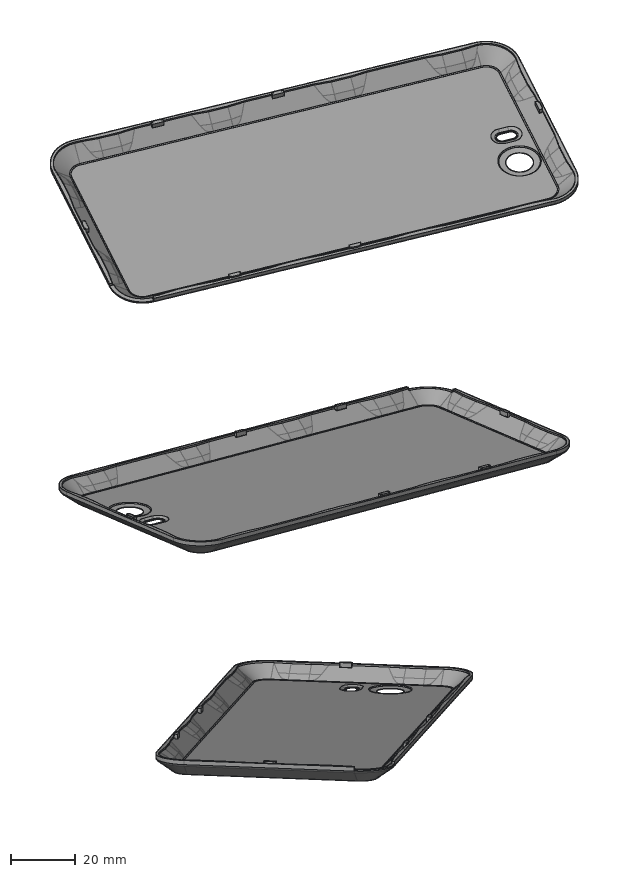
import cadquery as cq
WIDTH = 74.9
LENGTH = 152.8
HEIGHT = 6.1
RIM_Z = 5.58
CORNER_RADIUS = 10.7

BAND_BOTTOM_Z = 4.3
BEVEL_BOTTOM_Z = 3.7
BEVEL_INSET = 0.5
BASE_INSET = 5.5

RIM_WIDTH = 0.9
LIP_BOTTOM_Z = 5.0
WALL_FOOT_INSET = 6.0
FLOOR_INSET = 6.4
FLOOR_Z = 0.8
FLOOR_BEVEL_HEIGHT = 0.2
WALL_FOOT_Z = FLOOR_Z + FLOOR_BEVEL_HEIGHT

NOTCH_DEPTH = 0.9

OPENINGS_Y = 63.0
CAMERA_X = 12.2
CAMERA_RADIUS = 4.3
CAMERA_CONE_RADIUS = 6.4
CAMERA_BEVEL_RADIUS = 6.7
CAMERA_CONE_DEPTH = 0.6
CAMERA_BEVEL_DEPTH = 0.3
FLASH_STRAIGHT = 3.0
FLASH_RADIUS = 1.7
FLASH_STEP_RADIUS = 2.1
FLASH_CONE_RADIUS = 3.4
FLASH_CONE_DEPTH = 0.5

PAD_LENGTH = 6.4
PAD_RIM_FLARE = 6.3
PAD_FOOT_FLARE = 2.5
PAD_BULGE = 0.5
PAD_KNEE_INSET = 4.5
PAD_KNEE_Z = 2.6
PAD_EMBED = 0.5
PAD_FADE = 0.03
SIDE_PADS_Y = (57.8, 21.4, -18.8, -54.7)
END_PADS_X = (-18.0, 18.0)

CLIP_LENGTH = 3.8
CLIP_TAB_LENGTH = 2.8
CLIP_OUTER_INSET = 0.69
CLIP_INNER_INSET = 2.0
CLIP_BOTTOM_Z = 4.6
SIDE_CLIPS_Y = (0.8, -38.7)
TOP_CLIP_X = -4.0
BOTTOM_CLIP_X = 0.0


def stacked_layers(profile):
    """Solid through rounded rectangles given as (inset from the outline, Z)."""
    outlines = []
    for inset, z in profile:
        block = cq.Workplane("XY").box(WIDTH - 2 * inset, LENGTH - 2 * inset, 1.5, centered=(True, True, False))
        rounded = block.edges("|Z").fillet(CORNER_RADIUS - inset)
        outlines.append(rounded.faces("<Z").wires().val().translate(cq.Vector(0, 0, z)))
    return cq.Workplane(cq.Solid.makeLoft(outlines, True))


def tray():
    outside = stacked_layers(
        [
            (BASE_INSET, 0),
            (BEVEL_INSET, BEVEL_BOTTOM_Z),
            (0, BAND_BOTTOM_Z),
            (0, RIM_Z),
        ]
    )
    cavity = stacked_layers(
        [
            (FLOOR_INSET, FLOOR_Z),
            (WALL_FOOT_INSET, WALL_FOOT_Z),
            (RIM_WIDTH, LIP_BOTTOM_Z),
            (RIM_WIDTH, RIM_Z),
        ]
    )
    return outside.cut(cavity)


def place_on_wall(feature, side, along):
    """Move a feature built on a -X wall (edge at X = 0, Y = 0) to a wall."""
    turn, half_span = {
        "-X": (0, WIDTH / 2),
        "-Y": (90, LENGTH / 2),
        "+X": (180, WIDTH / 2),
        "+Y": (270, LENGTH / 2),
    }[side]
    centred = feature.translate((-half_span, 0, 0))
    turned = centred.rotate((0, 0, 0), (0, 0, 1), turn)
    shift = (0, along, 0) if side in ("-X", "+X") else (along, 0, 0)
    return turned.translate(shift)


def pad():
    """Flat-faced bulge whose ends fade into the sloped wall."""
    bulged_inset = RIM_WIDTH + PAD_BULGE
    wall_run = (WALL_FOOT_INSET - RIM_WIDTH) / (LIP_BOTTOM_Z - WALL_FOOT_Z)
    knee_on_wall = RIM_WIDTH + wall_run * (LIP_BOTTOM_Z - PAD_KNEE_Z)
    bulged = [
        (bulged_inset, RIM_Z),
        (bulged_inset, LIP_BOTTOM_Z),
        (PAD_KNEE_INSET, PAD_KNEE_Z),
        (WALL_FOOT_INSET, WALL_FOOT_Z),
    ]
    faded = [
        (RIM_WIDTH - PAD_FADE, RIM_Z),
        (RIM_WIDTH - PAD_FADE, LIP_BOTTOM_Z),
        (knee_on_wall - PAD_FADE, PAD_KNEE_Z),
        (WALL_FOOT_INSET - PAD_FADE, WALL_FOOT_Z),
    ]
    back_line = [
        (WALL_FOOT_INSET - PAD_EMBED, WALL_FOOT_Z),
        (RIM_WIDTH - PAD_EMBED, LIP_BOTTOM_Z),
        (RIM_WIDTH - PAD_EMBED, RIM_Z),
    ]

    def flare(z):
        height_share = (z - WALL_FOOT_Z) / (RIM_Z - WALL_FOOT_Z)
        return PAD_FOOT_FLARE + (PAD_RIM_FLARE - PAD_FOOT_FLARE) * height_share

    def section(front, direction, flared):
        points = []
        for inset, z in front + back_line:
            reach = PAD_LENGTH / 2 + (flare(z) if flared else 0)
            points.append(cq.Vector(inset, direction * reach, z))
        return cq.Wire.makePolygon(points, close=True)

    sections = [
        section(faded, -1, True),
        section(bulged, -1, False),
        section(bulged, 1, False),
        section(faded, 1, True),
    ]
    return cq.Workplane(cq.Solid.makeLoft(sections, True))


def clip():
    """T-shaped snap clip: body inside the rim, narrower tab over the rim."""
    height = HEIGHT - CLIP_BOTTOM_Z
    body = cq.Workplane("XY").box(
        CLIP_INNER_INSET - RIM_WIDTH, CLIP_LENGTH, height, centered=(False, True, False)
    )
    tab = cq.Workplane("XY").box(
        CLIP_INNER_INSET - CLIP_OUTER_INSET, CLIP_TAB_LENGTH, height, centered=(False, True, False)
    )
    placed_body = body.translate((RIM_WIDTH, 0, CLIP_BOTTOM_Z))
    placed_tab = tab.translate((CLIP_OUTER_INSET, 0, CLIP_BOTTOM_Z))
    return placed_body.union(placed_tab)


def corner_notch():
    corner = (WIDTH / 2 - CORNER_RADIUS / 2, -LENGTH / 2 + CORNER_RADIUS / 2, RIM_Z)
    return cq.Workplane("XY").box(CORNER_RADIUS, CORNER_RADIUS, 2 * NOTCH_DEPTH).translate(corner)


def camera_opening():
    """Round hole with a conical seat and a shallow outer bevel."""
    bevel_z = FLOOR_Z - CAMERA_BEVEL_DEPTH
    cone_z = FLOOR_Z - CAMERA_CONE_DEPTH

    def cone(radius_low, z_low, radius_high, z_high):
        base = cq.Vector(CAMERA_X, OPENINGS_Y, z_low)
        return cq.Workplane(cq.Solid.makeCone(radius_low, radius_high, z_high - z_low, base))

    hole = cq.Workplane("XY").center(CAMERA_X, OPENINGS_Y).circle(CAMERA_RADIUS).extrude(FLOOR_Z)
    seat = cone(CAMERA_RADIUS, cone_z, CAMERA_CONE_RADIUS, bevel_z)
    bevel = cone(CAMERA_CONE_RADIUS, bevel_z, CAMERA_BEVEL_RADIUS, FLOOR_Z)
    return hole.union(seat).union(bevel)


def flash_opening():
    """Upright slot with a small step and a sloped surround."""
    cone_bottom_z = FLOOR_Z - FLASH_CONE_DEPTH

    def slot(radius):
        return cq.Sketch().slot(FLASH_STRAIGHT, 2 * radius, angle=90)

    hole = cq.Workplane("XY").placeSketch(slot(FLASH_RADIUS)).extrude(FLOOR_Z)
    surround = (
        cq.Workplane("XY")
        .placeSketch(
            slot(FLASH_STEP_RADIUS).moved(cq.Location(cq.Vector(0, 0, cone_bottom_z))),
            slot(FLASH_CONE_RADIUS).moved(cq.Location(cq.Vector(0, 0, FLOOR_Z))),
        )
        .loft(ruled=True)
    )
    return hole.union(surround).translate((0, OPENINGS_Y, 0))


body = tray().cut(camera_opening()).cut(flash_opening())

for side in ("-X", "+X"):
    for pad_y in SIDE_PADS_Y:
        body = body.union(place_on_wall(pad(), side, pad_y))
    for clip_y in SIDE_CLIPS_Y:
        body = body.union(place_on_wall(clip(), side, clip_y))

for side in ("-Y", "+Y"):
    for pad_x in END_PADS_X:
        body = body.union(place_on_wall(pad(), side, pad_x))

body = body.union(place_on_wall(clip(), "+Y", TOP_CLIP_X))
body = body.union(place_on_wall(clip(), "-Y", BOTTOM_CLIP_X))

result = body.cut(corner_notch())